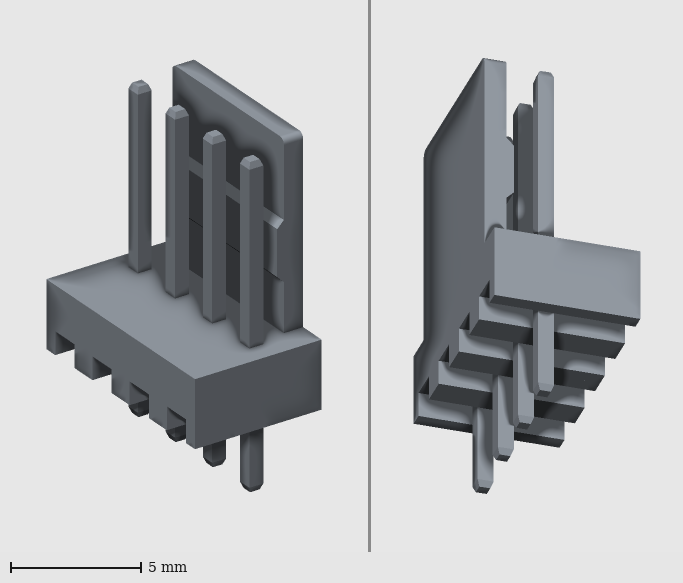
import cadquery as cq


pole_count = 4
row_length = 10.16
pitch = row_length / pole_count

housing_depth = 5.9
housing_bottom = 3.26
housing_height = 3.03
housing_top = housing_bottom + housing_height

slot_width = 1.31
slot_height = 1.03

pin_width = 0.65
pin_top = 14.29
pin_setback = 2.4
tip_height = 0.26
tip_inset = 0.1
tip_width = pin_width - 2 * tip_inset

wall_top = 14.7
wall_thickness = 0.9
wall_end_inset = pitch / 2
wall_corner_radius = 0.26
ridge_bottom = 8.5
ridge_top = 11.19
ridge_depth = 0.31
ridge_bevel = 0.31


def make_housing():
    """Block of one pole, centred on X = 0, with its slot underneath."""
    block = cq.Workplane("XY").box(
        pitch, housing_depth, housing_height, centered=(True, False, False)
    ).translate((0, -housing_depth, housing_bottom))
    slot = cq.Workplane("XY").box(
        slot_width, housing_depth, slot_height, centered=(True, False, False)
    ).translate((0, -housing_depth, housing_bottom))
    return block.cut(slot)


def make_pin():
    """Square pin with a tapered tip at each end."""
    lower_shoulder = tip_height
    upper_shoulder = pin_top - tip_height
    lower_tip = (
        cq.Workplane("XY")
        .rect(tip_width, tip_width)
        .workplane(offset=tip_height)
        .rect(pin_width, pin_width)
        .loft(ruled=True)
    )
    shaft = (
        cq.Workplane("XY", origin=(0, 0, lower_shoulder))
        .rect(pin_width, pin_width)
        .extrude(upper_shoulder - lower_shoulder)
    )
    upper_tip = (
        cq.Workplane("XY", origin=(0, 0, upper_shoulder))
        .rect(pin_width, pin_width)
        .workplane(offset=tip_height)
        .rect(tip_width, tip_width)
        .loft(ruled=True)
    )
    return shaft.union(lower_tip).union(upper_tip).translate((0, -pin_setback, 0))


def make_wall(start_x, end_x):
    """Stretch of the locking wall and its bevelled ridge between two X positions."""
    wall_front = -wall_thickness
    ridge_front = wall_front - ridge_depth
    profile = [
        (0, housing_top),
        (0, wall_top),
        (wall_front, wall_top),
        (wall_front, ridge_top),
        (ridge_front, ridge_top - ridge_bevel),
        (ridge_front, ridge_bottom + ridge_bevel),
        (wall_front, ridge_bottom),
        (wall_front, housing_top),
    ]
    return (
        cq.Workplane("YZ", origin=(start_x, 0, 0))
        .polyline(profile)
        .close()
        .extrude(end_x - start_x)
    )


def make_inner_pole():
    """Pole with the locking wall along its full width."""
    wall = make_wall(-pitch / 2, pitch / 2)
    return make_housing().union(wall).union(make_pin())


def make_left_end_pole():
    """Left end pole, where the wall stops short with a rounded top corner."""
    wall = make_wall(-pitch / 2 + wall_end_inset, pitch / 2)
    wall = wall.faces(">Z").edges("<X").fillet(wall_corner_radius)
    return make_housing().union(wall).union(make_pin())


def make_right_end_pole():
    """Right end pole, the mirror image of the left one."""
    return make_left_end_pole().mirror("YZ")


poles = []
for index in range(pole_count):
    if index == 0:
        pole = make_left_end_pole()
    elif index == pole_count - 1:
        pole = make_right_end_pole()
    else:
        pole = make_inner_pole()
    pole_x = (index - (pole_count - 1) / 2) * pitch
    poles.append(pole.translate((pole_x, 0, 0)))

result = cq.Compound.makeCompound([pole.val() for pole in poles])